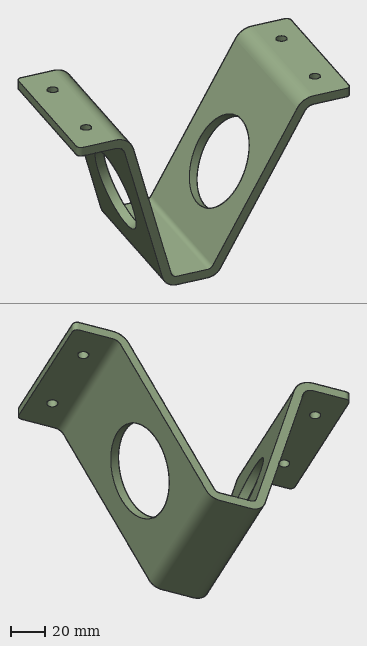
import cadquery as cq
import math

width = 88.9
length = 174.6
height = 107.2
thickness = 5.8

back_angle = 60.0
front_angle = 75.0

back_floor_y = -2.3
front_floor_y = -27.0

top_bend_radius = 6.3
bottom_bend_radius = 3.8

flange_corner_radius = 3.0
bolt_diameter = 6.5
bolt_spacing_x = 48.0
bolt_spacing_y = 146.5

back_opening_diameter = 57.1
back_opening_y = 22.7
front_opening_diameter = 51.0
front_opening_y = -38.0

floor_z = thickness - height


def leg_top_y(floor_y, angle, side):
    """Y where the inner face of a leg reaches the top plane; side is +1 back, -1 front."""
    return floor_y + side * -floor_z / math.tan(math.radians(angle))


def offset_shift(angle):
    """Sideways shift of a sharp corner between the two faces of the sheet."""
    return thickness * math.tan(math.radians(angle) / 2)


def bent_sheet():
    """Folded strip: a sharp profile extruded across X, then rounded at each bend."""
    back_top_y = leg_top_y(back_floor_y, back_angle, 1)
    front_top_y = leg_top_y(front_floor_y, front_angle, -1)
    back_shift = offset_shift(back_angle)
    front_shift = offset_shift(front_angle)
    upper_face = [
        (length / 2, 0),
        (back_top_y, 0),
        (back_floor_y, floor_z),
        (front_floor_y, floor_z),
        (front_top_y, 0),
        (-length / 2, 0),
    ]
    lower_face = [
        (-length / 2, -thickness),
        (front_top_y - front_shift, -thickness),
        (front_floor_y - front_shift, -height),
        (back_floor_y + back_shift, -height),
        (back_top_y + back_shift, -thickness),
        (length / 2, -thickness),
    ]
    sheet = cq.Workplane("YZ").polyline(upper_face + lower_face).close().extrude(width / 2, both=True)

    bends = [
        (back_top_y, 0, top_bend_radius + thickness),
        (front_top_y, 0, top_bend_radius + thickness),
        (back_top_y + back_shift, -thickness, top_bend_radius),
        (front_top_y - front_shift, -thickness, top_bend_radius),
        (back_floor_y, floor_z, bottom_bend_radius),
        (front_floor_y, floor_z, bottom_bend_radius),
        (back_floor_y + back_shift, -height, bottom_bend_radius + thickness),
        (front_floor_y - front_shift, -height, bottom_bend_radius + thickness),
    ]
    for y, z, radius in bends:
        sheet = sheet.edges(cq.selectors.NearestToPointSelector((0, y, z))).fillet(radius)
    return sheet.edges("|Z").fillet(flange_corner_radius)


def bolt_holes():
    """Four vertical holes, two in each flange."""
    return (
        cq.Workplane("XY")
        .rect(bolt_spacing_x, bolt_spacing_y, forConstruction=True)
        .vertices()
        .circle(bolt_diameter / 2)
        .extrude(-thickness)
    )


def leg_opening(center_y, diameter, floor_y, angle, side):
    """Round cutter square to one leg, passing through its full thickness."""
    slope = math.radians(angle)
    center_z = floor_z + side * (center_y - floor_y) * math.tan(slope)
    outward = cq.Vector(0, side * math.sin(slope), -math.cos(slope))
    start = cq.Vector(0, center_y, center_z) - outward * thickness
    return cq.Workplane(cq.Solid.makeCylinder(diameter / 2, 3 * thickness, start, outward))


back_opening = leg_opening(back_opening_y, back_opening_diameter, back_floor_y, back_angle, 1)
front_opening = leg_opening(front_opening_y, front_opening_diameter, front_floor_y, front_angle, -1)

result = bent_sheet().cut(bolt_holes()).cut(back_opening).cut(front_opening)